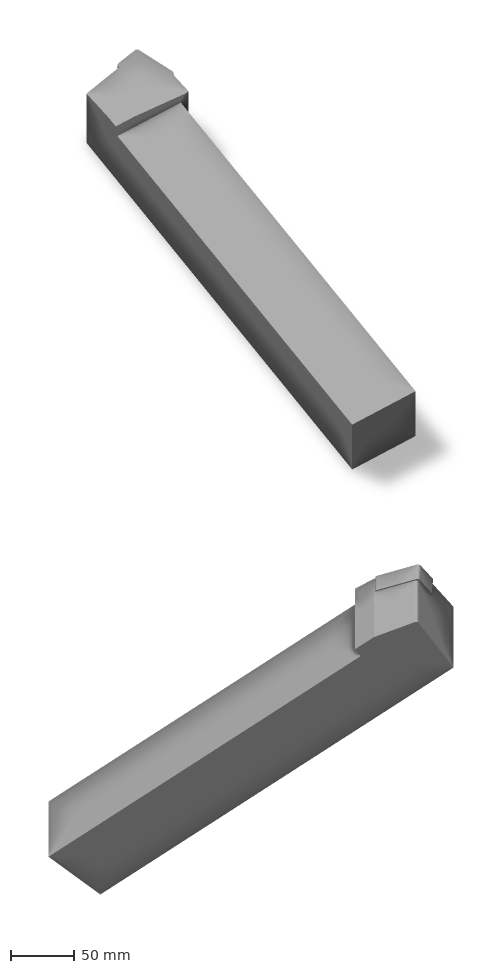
import cadquery as cq
import math

overall_length = 402.0
shank_size = 60.0

lead_angle = 15.0
head_corner_x = 19.0
front_face_width = 58.7
front_corner_radius = 2.0
head_width = 68.8
head_height = 70.0
head_back_x = 61.0
shank_start_x = 63.5

rake_start_x = 50.5
rake_slope_x = 0.13
rake_slope_y = -0.08

insert_length = 40.2
insert_width = 24.5
insert_thickness = 14.0
insert_corner_radius = 2.5
insert_center_x = 21.7
insert_center_y = 54.0

lead_tangent = math.tan(math.radians(lead_angle))


def rake_height(x, y):
    """Height of the rake plane above a point of the base."""
    return head_height + rake_slope_x * (x - rake_start_x) + rake_slope_y * y


def make_insert():
    """Rounded rectangular plate lying with its top face in the rake plane."""
    cos_lead = math.cos(math.radians(lead_angle))
    sin_lead = math.sin(math.radians(lead_angle))
    rise_along_length = rake_slope_x * cos_lead + rake_slope_y * sin_lead
    seat = cq.Plane(
        origin=(insert_center_x, insert_center_y, rake_height(insert_center_x, insert_center_y)),
        xDir=(cos_lead, sin_lead, rise_along_length),
        normal=(-rake_slope_x, -rake_slope_y, 1),
    )
    plate = cq.Workplane(seat).rect(insert_length, insert_width).extrude(-insert_thickness)
    return plate.edges(cq.selectors.ParallelDirSelector(seat.zDir)).fillet(insert_corner_radius)


def make_shank():
    """Plain square bar behind the head."""
    length = overall_length - shank_start_x
    return cq.Workplane("XY").box(length, shank_size, shank_size, centered=False).translate(
        (shank_start_x, 0, 0)
    )


def make_head():
    """Angled head with a sloping rear step, trimmed by the rake plane."""
    front_corner_x = head_corner_x - front_face_width * lead_tangent
    relief_end_x = front_corner_x + (head_width - front_face_width) / lead_tangent
    outline = (
        cq.Workplane("XY")
        .polyline([
            (head_corner_x, 0),
            (front_corner_x, front_face_width),
            (relief_end_x, head_width),
            (head_back_x, head_width),
            (shank_start_x, shank_size),
            (shank_start_x, 0),
        ])
        .close()
        .extrude(head_height)
    )
    front_corner = cq.selectors.NearestToPointSelector((front_corner_x, front_face_width, head_height / 2))
    outline = outline.edges("|Z").edges(front_corner).fillet(front_corner_radius)

    side_profile = (
        cq.Workplane("XZ")
        .polyline([
            (0, 0),
            (shank_start_x, 0),
            (shank_start_x, shank_size),
            (head_back_x, head_height),
            (0, head_height),
        ])
        .close()
        .extrude(-head_width)
    )
    return outline.intersect(side_profile).cut(make_rake_cutter())


def make_rake_cutter():
    """Large block resting on the rake plane."""
    plane = cq.Plane(
        origin=(rake_start_x, 0, head_height),
        xDir=(1, 0, rake_slope_x),
        normal=(-rake_slope_x, -rake_slope_y, 1),
    )
    cutter_size = 4 * head_width
    return cq.Workplane(plane).rect(cutter_size, cutter_size).extrude(head_height)


insert = make_insert()
holder = make_shank().union(make_head()).cut(insert)

result = cq.Compound.makeCompound([holder.val(), insert.val()])